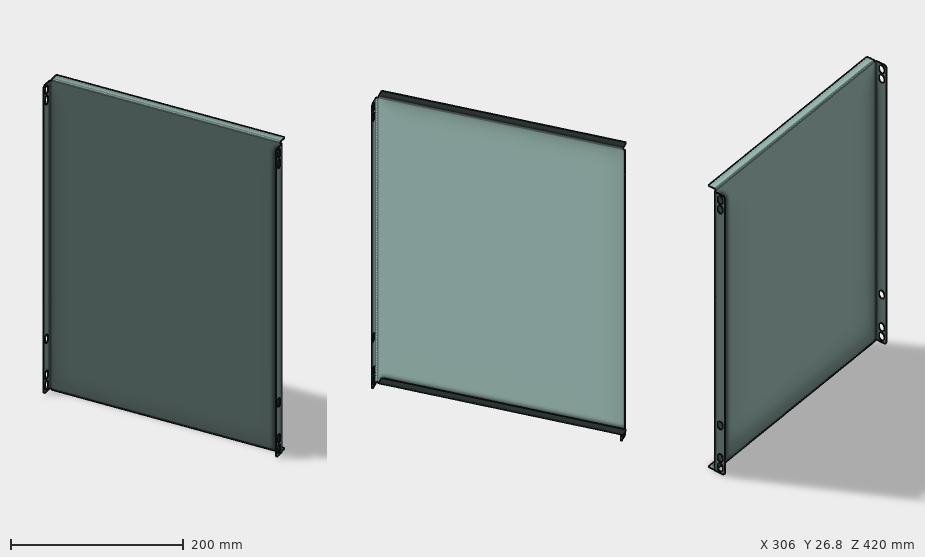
import cadquery as cq

WIDTH = 306.0
HEIGHT = 420.0
THICKNESS = 1.2
INNER_BEND_RADIUS = 0.9
OUTER_BEND_RADIUS = INNER_BEND_RADIUS + THICKNESS

SIDE_FLANGE_DEPTH = 16.0
END_FLANGE_DEPTH = 12.0
SIDE_FLANGE_SETBACK = 2.5
END_FLANGE_SETBACK = 3.0
SIDE_FLANGE_LENGTH = HEIGHT - 2 * SIDE_FLANGE_SETBACK
END_FLANGE_LENGTH = WIDTH - 2 * END_FLANGE_SETBACK
SIDE_CORNER_RADIUS = 3.5
END_CORNER_RADIUS = 2.0

SLOT_WIDTH = 7.0
SLOT_LENGTH = 11.5
SLOT_EDGE_DISTANCE = 7.0
SLOT_PITCH = 14.0
SLOT_END_MARGIN = 11.0
SINGLE_SLOT_RISE = 73.5


def bent_block(span, depth, length, bend_radius):
    """Solid block with its two long edges at y = 0 rounded to a bend radius."""
    block = cq.Workplane("XY").box(span, depth, length, centered=(True, False, True))
    return block.edges("|Z and <Y").fillet(bend_radius)


def channel(span, depth, length, corner_radius):
    """U-channel along Z: web on y = 0, legs toward +Y with rounded free corners."""
    outer = bent_block(span, depth, length, OUTER_BEND_RADIUS)
    outer = outer.edges("|X and >Y").fillet(corner_radius)
    inner = bent_block(span - 2 * THICKNESS, depth, length, INNER_BEND_RADIUS)
    return outer.cut(inner.translate((0, THICKNESS, 0)))


def side_channel():
    """Panel web with the two side flanges folded toward -Y."""
    body = channel(WIDTH, SIDE_FLANGE_DEPTH, SIDE_FLANGE_LENGTH, SIDE_CORNER_RADIUS)
    return body.rotate((0, 0, 0), (0, 0, 1), 180)


def end_channel():
    """Panel web with the top and bottom flanges folded toward +Y."""
    body = channel(HEIGHT, END_FLANGE_DEPTH, END_FLANGE_LENGTH, END_CORNER_RADIUS)
    return body.rotate((0, 0, 0), (0, 1, 0), 90).translate((0, -THICKNESS, 0))


def slot_cutter(z):
    """Vertical round-ended slot through both side flanges at height z."""
    slot_y = -SIDE_FLANGE_DEPTH + SLOT_EDGE_DISTANCE
    plane = cq.Workplane("YZ", origin=(-WIDTH / 2, slot_y, z))
    return plane.slot2D(SLOT_LENGTH, SLOT_WIDTH, 90).extrude(WIDTH)


outer_slot = HEIGHT / 2 - SLOT_END_MARGIN
inner_slot = outer_slot - SLOT_PITCH
single_slot = -HEIGHT / 2 + SINGLE_SLOT_RISE

result = side_channel().union(end_channel())
for slot_z in (outer_slot, inner_slot, single_slot, -inner_slot, -outer_slot):
    result = result.cut(slot_cutter(slot_z))